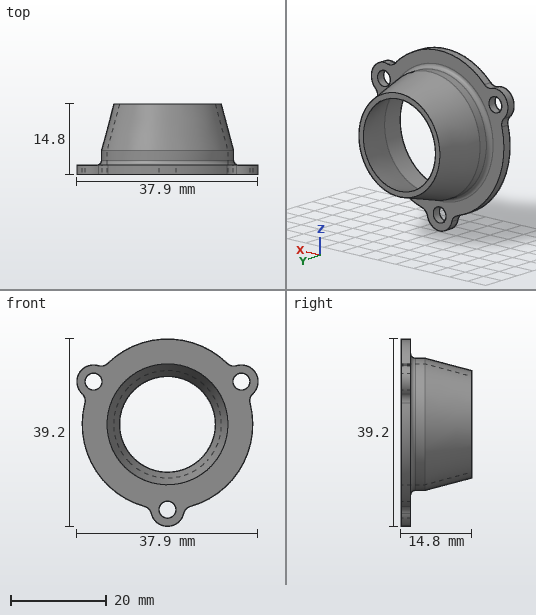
import cadquery as cq
import math


flange_radius = 17.85
flange_thickness = 2.0

lug_count = 3
first_lug_angle = 30.0
lug_radius = 3.5
lug_fillet_radius = 2.0
screw_hole_diameter = 3.5

collar_bore_diameter = 25.3
collar_outer_diameter = 27.7
mouth_bore_diameter = 20.0
mouth_outer_diameter = 22.5
collar_end = 5.0
total_length = 14.8
root_fillet_radius = 1.0


def disc(diameter, start, end):
    """Solid cylinder on the Y axis between two Y positions."""
    plane = cq.Workplane("XZ", origin=(0, start, 0))
    return plane.circle(diameter / 2).extrude(start - end)


def taper(start_diameter, end_diameter):
    """Solid taper from the end of the collar to the mouth."""
    plane = cq.Workplane("XZ", origin=(0, collar_end, 0))
    start_circle = plane.circle(start_diameter / 2)
    mouth_plane = start_circle.workplane(offset=collar_end - total_length)
    return mouth_plane.circle(end_diameter / 2).loft()


def lug_centres():
    """X, Z positions of the lugs, evenly spaced around the rim."""
    angles = [math.radians(first_lug_angle + i * 360 / lug_count) for i in range(lug_count)]
    return [(flange_radius * math.cos(a), flange_radius * math.sin(a)) for a in angles]


def make_flange():
    """Round plate with lugs blended smoothly into its rim."""
    plate = disc(2 * flange_radius, 0, flange_thickness)
    lugs = cq.Workplane("XZ").pushPoints(lug_centres()).circle(lug_radius).extrude(-flange_thickness)
    flange = plate.union(lugs, clean=False)

    half_angle = 2 * math.asin(lug_radius / (2 * flange_radius))
    for x, z in lug_centres():
        for side in (-1, 1):
            angle = math.atan2(z, x) + side * half_angle
            corner = (flange_radius * math.cos(angle), flange_thickness / 2, flange_radius * math.sin(angle))
            flange = flange.edges(cq.selectors.NearestToPointSelector(corner)).fillet(lug_fillet_radius)
    return flange


def make_neck(collar_diameter, mouth_diameter):
    """Solid collar and taper with the given end diameters."""
    return disc(collar_diameter, 0, collar_end).union(taper(collar_diameter, mouth_diameter))


def fillet_neck_root(body):
    """Round the inside corner where the collar meets the flange."""
    reach = root_fillet_radius / 2
    low_corner = (-reach, flange_thickness - reach, -reach)
    high_corner = (reach, flange_thickness + reach, reach)
    return body.edges(cq.selectors.BoxSelector(low_corner, high_corner)).fillet(root_fillet_radius)


def drill_screw_holes(body):
    """Cut one through hole at the centre of each lug."""
    holes = cq.Workplane("XZ").pushPoints(lug_centres()).circle(screw_hole_diameter / 2)
    return body.cut(holes.extrude(-flange_thickness))


def make_part():
    """Flange and neck with a blended root, bored through and drilled."""
    body = make_flange().union(make_neck(collar_outer_diameter, mouth_outer_diameter))
    body = fillet_neck_root(body)
    bore = make_neck(collar_bore_diameter, mouth_bore_diameter)
    return drill_screw_holes(body.cut(bore))


result = make_part()